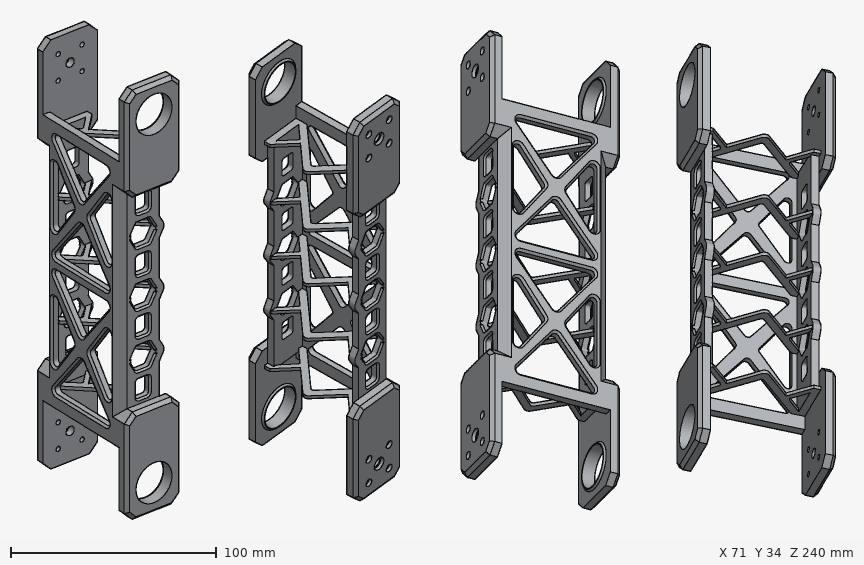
import cadquery as cq
import math

width = 71.0
depth = 34.0
height = 240.0
front_y = -depth / 2

ear_thickness = 6.0
ear_length = 60.0
ear_corner = 5.0
ear_edge_chamfer = 2.0
ear_inner_x = width / 2 - ear_thickness
ear_center_z = (height - ear_length) / 2

pivot_z = 103.0
pivot_hole_diameter = 5.0
screw_hole_diameter = 2.6
screw_spacing = 15.0
pivot_counterbore_diameter = 7.0
screw_counterbore_diameter = 4.0
counterbore_depth = 2.0
bearing_diameter = 22.3
bearing_rim_diameter = 25.2
bearing_rim_height = 1.0

panel_length = 159.8
panel_thickness = 4.3
panel_back_y = front_y + panel_thickness
frame_corner_chamfer = 5.0
window_chamfer = 1.2
window_fillet = 2.2
mid_bar_half = 3.0
cell_top_z = 72.5
cell_center_z = (mid_bar_half + cell_top_z) / 2
end_window_half_width = 23.8
end_window_tip_gap = 5.0
side_window_x = 22.8
side_window_half_height = 24.0
side_window_tip_x = 5.3

wall_thickness = 4.0
wall_inner_x = ear_inner_x - wall_thickness
wall_half_length = 72.0
wall_back_y = 8.2
opening_y = -2.0
opening_pitch = 34.5
hex_heights = [step * opening_pitch for step in (-1, 0, 1)]
slot_heights = [step * opening_pitch for step in (-1.5, -0.5, 0.5, 1.5)]
opening_chamfer = 1.0
slot_width = 8.2
slot_length = 11.0
slot_fillet = 1.7
hex_apothem = 7.0
hex_fillet = 1.2
hex_rim = 4.8
hex_rim_fillet = 4.0

rib_thickness = 2.0
rib_leg = 4.0
rib_peak_y = 15.4
rib_peak_fillet = 2.6
rib_inner_fillet = 1.5
rib_pad_y = 10.5
brace_width = 2.6
rib_centers = [-wall_half_length + rib_thickness / 2, -opening_pitch, 0,
               opening_pitch, wall_half_length - rib_thickness / 2]


def block(x_range, y_range, z_range):
    """Axis-aligned box given by its limits along each axis."""
    sizes = [high - low for low, high in (x_range, y_range, z_range)]
    center = [(high + low) / 2 for low, high in (x_range, y_range, z_range)]
    return cq.Workplane("XY").box(*sizes).translate(tuple(center))


def ear(side, end):
    """Octagonal end plate with a chamfered outer face."""
    outer_face = ">X" if side > 0 else "<X"
    plate = cq.Workplane("XY").box(ear_thickness, depth, ear_length)
    plate = plate.edges("|X").chamfer(ear_corner)
    plate = plate.faces(outer_face).edges().chamfer(ear_edge_chamfer)
    center_x = side * (width - ear_thickness) / 2
    return plate.translate((center_x, 0, end * ear_center_z))


def x_cylinder(diameter, start_x, length, y, z):
    """Cylinder along +X starting at start_x."""
    circle = cq.Workplane("YZ", origin=(start_x, y, z)).circle(diameter / 2)
    return circle.extrude(length)


def counterbored_hole(diameter, counterbore_diameter, y, z):
    """Hole through a left ear, counterbored on its outer face."""
    start_x = -width / 2
    bore = x_cylinder(diameter, start_x, ear_thickness, y, z)
    return bore.union(x_cylinder(counterbore_diameter, start_x, counterbore_depth, y, z))


def bearing_rim(z):
    """Conical rim around the bearing bore on the inner face of a right ear."""
    base = cq.Workplane("YZ", origin=(ear_inner_x, 0, z)).circle(bearing_rim_diameter / 2)
    return base.extrude(-bearing_rim_height, taper=45)


def front_prism(points):
    """Round-cornered prism through the front panel."""
    prism = cq.Workplane("XZ", origin=(0, panel_back_y, 0)).polyline(points).close()
    return prism.extrude(panel_thickness).edges("|Y").fillet(window_fillet)


def truss_panel():
    """Front panel with two X-braced cells of chamfered triangular windows."""
    panel = block((-ear_inner_x, ear_inner_x), (front_y, panel_back_y),
                  (-panel_length / 2, panel_length / 2))
    for end in (-1, 1):
        for edge_z, direction in ((cell_top_z, 1), (mid_bar_half, -1)):
            tip_z = cell_center_z + direction * end_window_tip_gap
            panel = panel.cut(front_prism([(-end_window_half_width, end * edge_z),
                                           (end_window_half_width, end * edge_z),
                                           (0, end * tip_z)]))
        for side in (-1, 1):
            center_z = end * cell_center_z
            panel = panel.cut(front_prism([
                (side * side_window_x, center_z - side_window_half_height),
                (side * side_window_x, center_z + side_window_half_height),
                (side * side_window_tip_x, center_z)]))
    margin = 0.2
    window_mouths = cq.selectors.BoxSelector(
        (-ear_inner_x + margin, front_y - margin, -panel_length / 2 + margin),
        (ear_inner_x - margin, front_y + margin, panel_length / 2 - margin),
        boundingbox=True)
    return panel.edges(window_mouths).chamfer(window_chamfer)


def hex_prism(apothem, fillet, z):
    """Hexagonal prism through the left wall with corners toward +Y and -Y."""
    across_corners = 2 * apothem / math.cos(math.radians(30))
    prism = cq.Workplane("YZ", origin=(-ear_inner_x, opening_y, z))
    return prism.polygon(6, across_corners).extrude(wall_thickness).edges("|X").fillet(fillet)


def left_wall():
    """Side wall with alternating slots and hexagonal openings."""
    wall = block((-ear_inner_x, -wall_inner_x), (front_y, wall_back_y),
                 (-wall_half_length, wall_half_length))
    for z in hex_heights:
        wall = wall.union(hex_prism(hex_apothem + hex_rim, hex_rim_fillet, z))
    for z in hex_heights:
        wall = wall.cut(hex_prism(hex_apothem, hex_fillet, z))
    for z in slot_heights:
        slot = cq.Workplane("YZ", origin=(-ear_inner_x, opening_y, z))
        slot = slot.rect(slot_width, slot_length).extrude(wall_thickness)
        wall = wall.cut(slot.edges("|X").fillet(slot_fillet))
    margin = 0.2
    opening_reach = hex_apothem + 2.5
    opening_mouths = cq.selectors.BoxSelector(
        (-ear_inner_x - margin, opening_y - opening_reach, -wall_half_length + margin),
        (-ear_inner_x + margin, opening_y + opening_reach, wall_half_length - margin),
        boundingbox=True)
    return wall.edges(opening_mouths).chamfer(opening_chamfer)


def rib(center_z):
    """W-shaped cross rib: a central gable with a brace up to each wall."""
    plane = cq.Workplane("XY", origin=(0, 0, center_z - rib_thickness / 2))

    def gable(peak_y, fillet):
        foot_x = peak_y - panel_back_y
        prism = plane.polyline([(-foot_x, panel_back_y), (0, peak_y), (foot_x, panel_back_y)])
        return prism.close().extrude(rib_thickness).edges("|Z and >Y").fillet(fillet)

    inner_peak_y = rib_peak_y - rib_leg * math.sqrt(2)
    shape = gable(rib_peak_y, rib_peak_fillet).cut(gable(inner_peak_y, rib_inner_fillet))
    brace_drop = brace_width * math.sqrt(2)
    for side, tip_edge in ((-1, "|Z and >X"), (1, "|Z and <X")):
        brace = plane.polyline([
            (side * rib_peak_y, 0),
            (side * (rib_peak_y + rib_pad_y), rib_pad_y),
            (side * ear_inner_x, rib_pad_y),
            (side * ear_inner_x, panel_back_y),
            (side * (rib_peak_y - panel_back_y), panel_back_y)])
        brace = brace.close().extrude(rib_thickness)
        pocket = plane.polyline([
            (side * wall_inner_x, rib_peak_y - wall_inner_x),
            (side * wall_inner_x, wall_inner_x - rib_peak_y - brace_drop),
            (side * (rib_peak_y + brace_drop / 2), -brace_drop / 2)])
        pocket = pocket.close().extrude(rib_thickness).edges(tip_edge).fillet(rib_inner_fillet)
        shape = shape.union(brace.cut(pocket))
    return shape


def corner_bevel(side):
    """Wedge along a front corner of the frame, ending on the planes of the ear corners."""
    tip_z = height / 2 - ear_length
    bevel_y = front_y + frame_corner_chamfer
    wedge = cq.Workplane("XY", origin=(0, 0, -height / 2)).polyline([
        (side * ear_inner_x, front_y),
        (side * (ear_inner_x - frame_corner_chamfer), front_y),
        (side * ear_inner_x, bevel_y)])
    wedge = wedge.close().extrude(height)
    limits = cq.Workplane("YZ", origin=(-width / 2, 0, 0)).polyline([
        (front_y, -tip_z - ear_corner),
        (front_y, tip_z + ear_corner),
        (bevel_y, tip_z + ear_corner - frame_corner_chamfer),
        (bevel_y, -tip_z - ear_corner + frame_corner_chamfer)])
    return wedge.intersect(limits.close().extrude(width))


wall = left_wall()
frame = truss_panel().union(wall).union(wall.mirror("YZ"))
for z in rib_centers:
    frame = frame.union(rib(z))
for z in hex_heights:
    clearance = hex_prism(hex_apothem, hex_fillet, z)
    frame = frame.cut(clearance).cut(clearance.mirror("YZ"))
for side in (-1, 1):
    frame = frame.cut(corner_bevel(side))

result = frame
for end in (-1, 1):
    z = end * pivot_z
    left_ear = ear(-1, end).cut(
        counterbored_hole(pivot_hole_diameter, pivot_counterbore_diameter, 0, z))
    for dy in (-screw_spacing / 2, screw_spacing / 2):
        for dz in (-screw_spacing / 2, screw_spacing / 2):
            left_ear = left_ear.cut(
                counterbored_hole(screw_hole_diameter, screw_counterbore_diameter, dy, z + dz))
    rim_x = ear_inner_x - bearing_rim_height
    bore_length = ear_thickness + bearing_rim_height
    right_ear = ear(1, end).union(bearing_rim(z))
    right_ear = right_ear.cut(x_cylinder(bearing_diameter, rim_x, bore_length, 0, z))
    result = result.union(left_ear).union(right_ear)